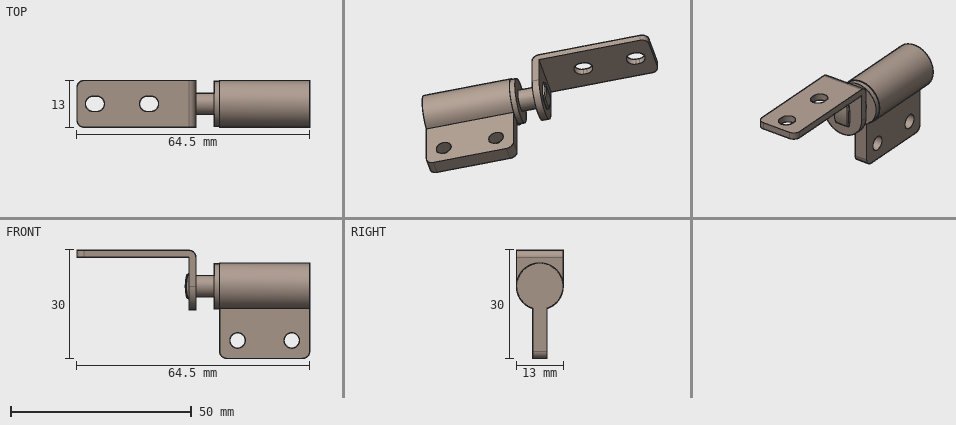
import cadquery as cq


barrel_radius = 6.5
barrel_length = 25.0
plate_thickness = 4.0
plate_depth = 20.0
plate_hole_spacing = 15.0
plate_hole_depth = 15.0
corner_radius = 2.0

bracket_width = 2 * barrel_radius
bracket_length = 33.0
bracket_thickness = 2.0
bracket_rise = 10.0
bend_radius = 2.0
first_slot_x = 5.0
slot_spacing = 15.0
slot_length = 5.2

hole_diameter = 4.2

collar_radius = 6.3
collar_length = 1.5
shaft_radius = 3.0
shaft_gap = 5.0
tang_width = 4.0

head_half_width = 2.5
head_half_height = 3.5
head_side_bulge = 0.2
head_end_bulge = 0.15
head_corner_radius = 0.5
head_height = 1.0
head_edge_height = 0.5
head_chamfer = 0.35

bracket_inner_x = bracket_length - bracket_thickness
collar_x = bracket_length + shaft_gap
barrel_x = collar_x + collar_length
barrel_end_x = barrel_x + barrel_length
barrel_middle_x = (barrel_x + barrel_end_x) / 2


def rod(start_x, length, radius):
    """Solid cylinder on the hinge axis."""
    return cq.Workplane("YZ", origin=(start_x, 0, 0)).circle(radius).extrude(length)


def make_barrel():
    """Barrel with the mounting plate hanging below it."""
    plate = (
        cq.Workplane("XY", origin=(barrel_middle_x, 0, -plate_depth))
        .box(barrel_length, plate_thickness, plate_depth, centered=(True, True, False))
        .edges("|Y and <Z")
        .fillet(corner_radius)
    )
    holes = (
        cq.Workplane("XZ", origin=(barrel_middle_x, 0, -plate_hole_depth))
        .rarray(plate_hole_spacing, 1, 2, 1)
        .circle(hole_diameter / 2)
        .extrude(plate_thickness, both=True)
    )
    return rod(barrel_x, barrel_length, barrel_radius).union(plate).cut(holes)


def make_collar():
    """Ring that closes the front of the barrel around the shaft."""
    return rod(collar_x, collar_length, collar_radius).cut(rod(collar_x, collar_length, shaft_radius))


def make_tang():
    """Stretch of the shaft inside the bracket, with two flats that stop it turning."""
    flats = cq.Workplane("XY", origin=(bracket_inner_x, 0, 0)).box(
        bracket_thickness, tang_width, 2 * shaft_radius, centered=(False, True, True)
    )
    return rod(bracket_inner_x, bracket_thickness, shaft_radius).intersect(flats)


def make_bracket():
    """Slotted top leaf bent down into a round-ended tab that the shaft passes through."""
    leaf = (
        cq.Workplane("XY", origin=(0, 0, bracket_rise - bracket_thickness))
        .box(bracket_length, bracket_width, bracket_thickness, centered=(False, True, False))
        .edges("|Z and <X")
        .fillet(corner_radius)
    )
    tab = (
        cq.Workplane("YZ", origin=(bracket_inner_x, 0, 0))
        .moveTo(-bracket_width / 2, bracket_rise)
        .lineTo(-bracket_width / 2, 0)
        .threePointArc((0, -bracket_width / 2), (bracket_width / 2, 0))
        .lineTo(bracket_width / 2, bracket_rise)
        .close()
        .extrude(bracket_thickness)
    )
    slots = (
        cq.Workplane("XY", origin=(first_slot_x + slot_spacing / 2, 0, 0))
        .rarray(slot_spacing, 1, 2, 1)
        .slot2D(slot_length, hole_diameter)
        .extrude(bracket_rise)
    )
    body = leaf.union(tab).edges("|Y and >X and >Z").fillet(bend_radius)
    return body.cut(slots).cut(make_tang())


def make_head():
    """Rectangular head with bulged sides and a face domed about the Y direction."""
    corner_y = head_half_width - head_side_bulge
    corner_z = head_half_height - head_end_bulge
    blank = (
        cq.Workplane("YZ", origin=(bracket_inner_x, 0, 0))
        .moveTo(-corner_y, -corner_z)
        .threePointArc((0, -head_half_height), (corner_y, -corner_z))
        .threePointArc((head_half_width, 0), (corner_y, corner_z))
        .threePointArc((0, head_half_height), (-corner_y, corner_z))
        .threePointArc((-head_half_width, 0), (-corner_y, -corner_z))
        .close()
        .extrude(-head_height)
        .edges("|X")
        .fillet(head_corner_radius)
    )
    edge_x = bracket_inner_x - head_edge_height
    dome = (
        cq.Workplane("XZ")
        .moveTo(bracket_inner_x, -head_half_height)
        .lineTo(edge_x, -head_half_height)
        .threePointArc((bracket_inner_x - head_height, 0), (edge_x, head_half_height))
        .lineTo(bracket_inner_x, head_half_height)
        .close()
        .extrude(head_half_width, both=True)
    )
    return blank.intersect(dome).faces("<X").chamfer(head_chamfer)


def make_shaft():
    """Shaft from the back of the collar, through the bracket, to its crowned head."""
    round_shaft = rod(bracket_length, barrel_x - bracket_length, shaft_radius)
    return round_shaft.union(make_tang()).union(make_head())


barrel = make_barrel()
collar = make_collar()
bracket = make_bracket()
shaft = make_shaft()

result = cq.Compound.makeCompound([barrel.val(), collar.val(), bracket.val(), shaft.val()])